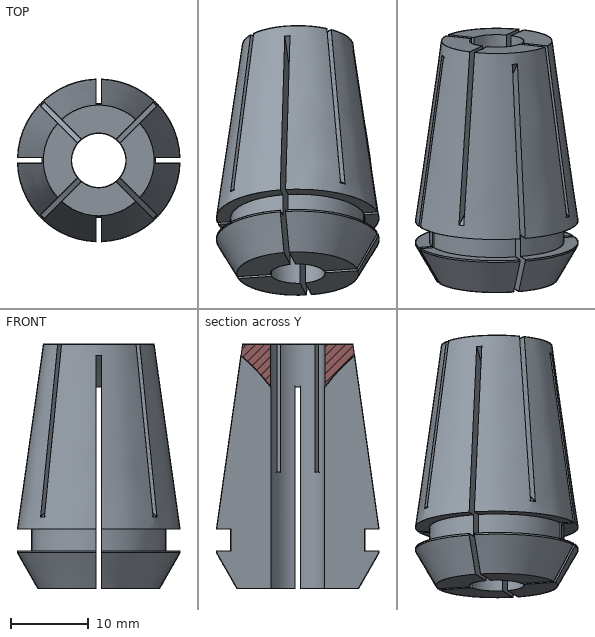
import cadquery as cq
import math

length = 31.5
outer_radius = 10.5
nose_radius = 7.85
neck_radius = 8.65
bore_radius = 3.5
land_bottom = 4.63
groove_bottom = 4.85
groove_top = 7.65
taper_angle = 8.0

slot_width = 0.7
slots_per_end = 4
cutter_radius = 25.2
lower_slot_outer_end = 30.05
lower_slot_bore_end = 26.0
upper_slot_outer_end = 9.23
upper_slot_bore_end = 15.05
clearance = 1.58


def taper_radius(z):
    """Radius of the clamping cone at height z."""
    return outer_radius - (z - groove_top) * math.tan(math.radians(taper_angle))


def turned_body():
    profile = [
        (bore_radius, 0),
        (nose_radius, 0),
        (outer_radius, land_bottom),
        (outer_radius, groove_bottom),
        (neck_radius, groove_bottom),
        (neck_radius, groove_top),
        (outer_radius, groove_top),
        (taper_radius(length), length),
        (bore_radius, length),
    ]
    return cq.Workplane("XZ").polyline(profile).close().revolve(360, (0, 0), (0, 1))


def slot_cutter(open_z, bore_end, outer_end):
    """Radial slot along +X, open at open_z, with a concave arc as its closed end."""
    end_radius = taper_radius(outer_end)
    run = end_radius - bore_radius
    rise = outer_end - bore_end
    chord = math.hypot(run, rise)
    sagitta = cutter_radius - math.sqrt(cutter_radius**2 - (chord / 2) ** 2)

    arc_middle = (
        (bore_radius + end_radius) / 2 - sagitta * abs(rise) / chord,
        (bore_end + outer_end) / 2 + math.copysign(sagitta, rise) * run / chord,
    )
    return (
        cq.Workplane("XZ")
        .moveTo(0, open_z)
        .lineTo(0, bore_end)
        .lineTo(bore_radius, bore_end)
        .threePointArc(arc_middle, (end_radius, outer_end))
        .lineTo(outer_radius + clearance, outer_end)
        .lineTo(outer_radius + clearance, open_z)
        .close()
        .extrude(slot_width / 2, both=True)
    )


lower_slot = slot_cutter(-clearance, lower_slot_bore_end, lower_slot_outer_end)
upper_slot = slot_cutter(length + clearance, upper_slot_bore_end, upper_slot_outer_end)
slot_pitch = 360 / slots_per_end

result = turned_body()
for index in range(slots_per_end):
    angle = index * slot_pitch
    result = result.cut(lower_slot.rotate((0, 0, 0), (0, 0, 1), angle))
    result = result.cut(upper_slot.rotate((0, 0, 0), (0, 0, 1), angle + slot_pitch / 2))